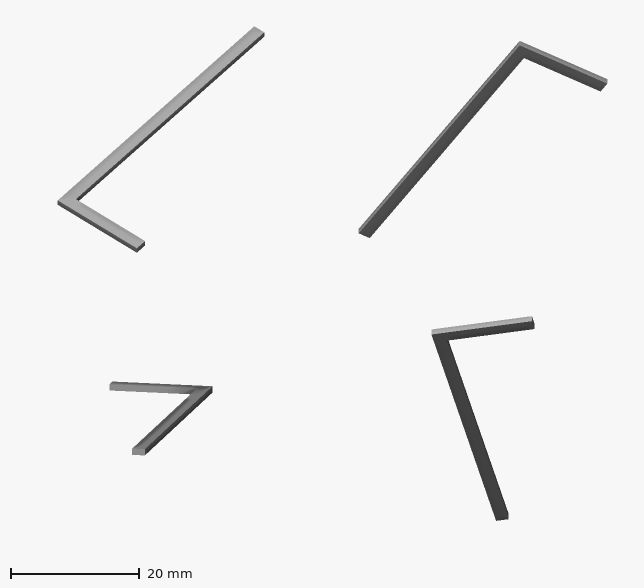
import cadquery as cq

long_leg = 48.0
short_leg = 16.0
leg_width = 2.0
thickness = 1.0

long_bar = cq.Workplane("XY").box(leg_width, long_leg, thickness, centered=False)
short_bar = cq.Workplane("XY").box(short_leg, leg_width, thickness, centered=False)

result = long_bar.union(short_bar)